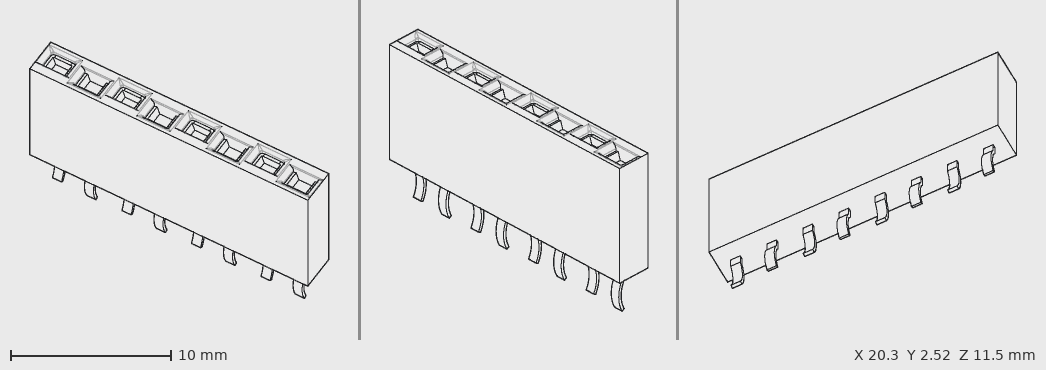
import cadquery as cq
import math


contact_count = 8
body_length = 20.32
pitch = body_length / contact_count
body_width = 2.52
body_height = 8.5

pocket_length = 2.44
pocket_back = 1.02
pocket_front = -0.63
end_radius = 0.33
back_radius = 0.2
front_radius = 0.06
corner_radius = 0.15
ledge_depth = 0.4
ledge_fall = 0.1
ledge_flat_length = 1.18

socket_mouth_length = 1.4
socket_floor_length = 1.0
socket_width = 1.15
socket_floor_depth = 1.02

pin_width = 0.67
pin_thickness = 0.22
pin_drop = 3.0
pin_stem = 0.67
pin_reach = 0.4


def rounded_profile(plane, half_mouth, radius):
    """Half of a bell mouth, from its centre line out to a wall rounded over at the top face."""
    throat = half_mouth - radius
    bend = radius * (1 - math.sqrt(0.5))
    round_start = body_height - radius
    return (
        cq.Workplane(plane)
        .moveTo(0, body_height)
        .lineTo(half_mouth, body_height)
        .threePointArc((throat + bend, body_height - bend), (throat, round_start))
        .lineTo(throat, body_height - socket_floor_depth)
        .lineTo(0, body_height - socket_floor_depth)
        .close()
    )


def make_lead_in():
    """Upper part of the pocket: rounded walls that meet in mitred corners."""
    half_bell = rounded_profile("XZ", pocket_length / 2, end_radius).extrude(body_width / 2, both=True)
    end_walls = half_bell.union(half_bell.mirror("YZ"))

    back_wall = rounded_profile("YZ", pocket_back, back_radius).extrude(pocket_length / 2, both=True)
    front_wall = rounded_profile("YZ", -pocket_front, front_radius).extrude(pocket_length / 2, both=True)
    side_walls = back_wall.union(front_wall.mirror("XZ"))
    bell = end_walls.intersect(side_walls)

    margin = 0.01
    corner_zone = cq.selectors.BoxSelector(
        (-pocket_length / 2, pocket_back - back_radius - margin, body_height - socket_floor_depth + margin),
        (pocket_length / 2, pocket_back, body_height - margin),
    )
    blended = bell.edges(corner_zone).edges("not |X").fillet(corner_radius)

    half_ledge = pocket_length / 2 - end_radius
    ledge_z = body_height - ledge_depth
    above_ledge = (
        cq.Workplane("XZ")
        .moveTo(-pocket_length / 2, body_height)
        .lineTo(-pocket_length / 2, ledge_z - ledge_fall)
        .lineTo(-half_ledge, ledge_z - ledge_fall)
        .lineTo(-ledge_flat_length / 2, ledge_z)
        .lineTo(ledge_flat_length / 2, ledge_z)
        .lineTo(half_ledge, ledge_z - ledge_fall)
        .lineTo(pocket_length / 2, ledge_z - ledge_fall)
        .lineTo(pocket_length / 2, body_height)
        .close()
        .extrude(body_width / 2, both=True)
    )
    return blended.intersect(above_ledge)


def make_socket():
    """Well with two sloping X walls; it starts at the flat of the ledge."""
    mouth_z = body_height - ledge_depth
    floor_z = body_height - socket_floor_depth
    return (
        cq.Workplane("XZ", origin=(0, pocket_front + front_radius, 0))
        .moveTo(-socket_mouth_length / 2, mouth_z)
        .lineTo(-socket_floor_length / 2, floor_z)
        .lineTo(socket_floor_length / 2, floor_z)
        .lineTo(socket_mouth_length / 2, mouth_z)
        .close()
        .extrude(-socket_width)
    )


def make_pin():
    """Straight stem leading into an arc that bows toward +Y."""
    half = pin_thickness / 2
    half_chord = (pin_drop - pin_stem) / 2
    sag = pin_reach - half
    outer_radius = (half_chord**2 + sag**2) / (2 * sag)
    inner_radius = outer_radius - pin_thickness
    centre_y = pin_reach - outer_radius
    centre_z = -pin_stem - half_chord

    inner_top_z = centre_z + math.sqrt(inner_radius**2 - (-half - centre_y) ** 2)
    shrink = inner_radius / outer_radius
    inner_tip = (centre_y + (half - centre_y) * shrink, centre_z - half_chord * shrink)

    return (
        cq.Workplane("YZ")
        .moveTo(-half, 0)
        .lineTo(half, 0)
        .lineTo(half, -pin_stem)
        .threePointArc((pin_reach, centre_z), (half, -pin_drop))
        .lineTo(*inner_tip)
        .threePointArc((pin_reach - pin_thickness, centre_z), (-half, inner_top_z))
        .close()
        .extrude(pin_width / 2, both=True)
    )


pocket = make_lead_in().union(make_socket())
pin = make_pin()
result = cq.Workplane("XY").box(body_length, body_width, body_height, centered=(True, True, False))

for index in range(contact_count):
    x = (index - (contact_count - 1) / 2) * pitch
    turn = 180 * (index % 2)
    placed_pocket = pocket.rotate((0, 0, 0), (0, 0, 1), turn).translate((x, 0, 0))
    placed_pin = pin.rotate((0, 0, 0), (0, 0, 1), turn).translate((x, 0, 0))
    result = result.cut(placed_pocket).union(placed_pin)